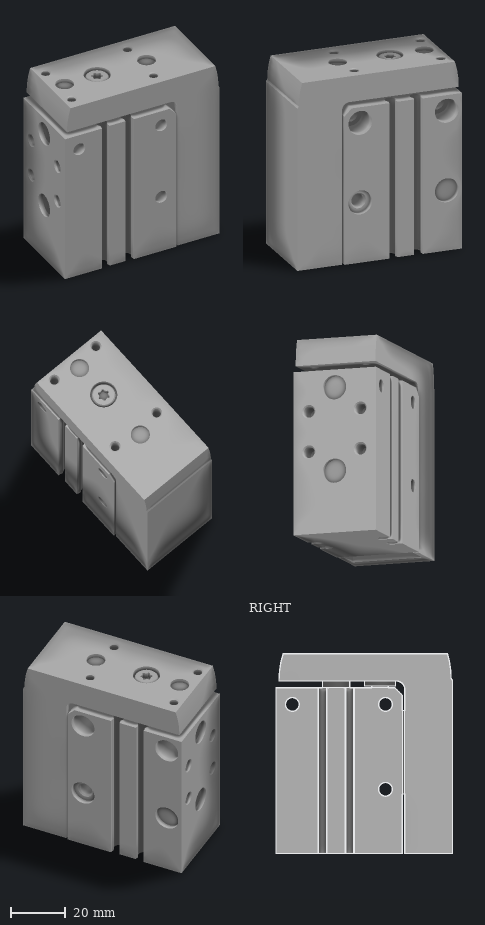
import cadquery as cq
import math


housing_width = 32.0
housing_depth = 46.2
housing_height = 60.6
rod_y = 22.0
bolt_front_y = 6.0
bolt_back_y = 40.0

back_chamfer = 2.8
side_x = -housing_width / 2

slot_mouth = 3.3
slot_mouth_depth = 1.0
slot_lip = 2.9
slot_bore_diameter = 4.13
slot_bore_depth = 3.4
slot_offset = 4.95
rib_drop = 0.3

side_bore_diameter = 9.3
side_hole_diameter = 4.92
side_countersink_diameter = 6.0
side_low_z = 23.5
side_row_spacing = 31.0
side_bore_shallow = 2.0
side_bore_deep = 10.0

front_recess_diameter = 9.0
front_recess_depth = 2.0
front_recess_low_z = 23.0
front_recess_spacing = 31.0
front_thread_diameter = 4.13
front_thread_countersink = 5.1
front_thread_depth = 8.0
front_thread_x = 10.0
front_thread_z = (30.5, 45.5)
drill_point_angle = 118.0

guide_width = 27.0
guide_back_y = 57.0
guide_low_z = 21.7
guide_high_z = 52.3

table_width = 31.0
table_height = 73.0
table_back_y = 64.5
wall_front_y = 47.0
arm_bottom_z = 63.0
arm_front_y = 1.1
end_radius = 31.0
front_round_z = 63.5
back_step = 0.5
back_step_height = 0.8
back_round_z = 64.0
inner_fillet = 3.0
channel_top_z = 62.4
channel_corner_radius = 5.0

table_thread_diameter = 3.24
table_thread_countersink = 4.1
table_thread_x = 10.0
table_recess_diameter = 7.0
table_recess_depth = 1.6
table_recess_y = (8.5, 42.5)

rod_diameter = 10.1
screw_bore_diameter = 10.0
screw_bore_depth = 3.0
screw_head_diameter = 8.5
screw_head_drop = 0.6
screw_head_chamfer = 0.4
torx_core_diameter = 3.5
torx_lobe_radius = 0.5
torx_tip_radius = 2.25
torx_depth = 2.3

stop_y = 38.0
stop_diameter = 11.5
stop_bottom_z = 61.2
stop_neck_diameter = 6.2


def box(x_range, y_range, z_range):
    """Axis-aligned box between two limits on each axis."""
    size = [high - low for low, high in (x_range, y_range, z_range)]
    corner = (x_range[0], y_range[0], z_range[0])
    return cq.Workplane(cq.Solid.makeBox(*size, cq.Vector(*corner)))


def cylinder(diameter, length, start, direction):
    """Round bar or hole cutter from a start point along a direction."""
    solid = cq.Solid.makeCylinder(diameter / 2, length, cq.Vector(*start), cq.Vector(*direction))
    return cq.Workplane(solid)


def cone(start_diameter, end_diameter, length, start, direction):
    """Tapered cutter from a start point along a direction."""
    solid = cq.Solid.makeCone(
        start_diameter / 2, end_diameter / 2, length, cq.Vector(*start), cq.Vector(*direction)
    )
    return cq.Workplane(solid)


def countersink(outer, inner, start, direction):
    """45 degree edge break at the mouth of a round hole."""
    return cone(outer, inner, (outer - inner) / 2, start, direction)


def sensor_slot(y):
    """Keyhole-shaped slot cutter in the -X face, full height."""
    full_height = (0, housing_height)
    bore_x = side_x + slot_bore_depth
    mouth = box(
        (side_x, side_x + slot_mouth_depth), (y - slot_mouth / 2, y + slot_mouth / 2), full_height
    )
    lip = box((side_x, bore_x), (y - slot_lip / 2, y + slot_lip / 2), full_height)
    bore = cylinder(slot_bore_diameter, housing_height, (bore_x, y, 0), (0, 0, 1))
    return mouth.union(lip).union(bore)


def slot_group():
    """Both sensor slots of the -X side and the lowered rib face between them."""
    rib_face = box(
        (side_x, side_x + rib_drop),
        (rod_y - slot_offset, rod_y + slot_offset),
        (0, housing_height),
    )
    return rib_face.union(sensor_slot(rod_y - slot_offset)).union(sensor_slot(rod_y + slot_offset))


def side_hole(y, z, bore_depth):
    """Counterbored hole through the housing from the -X side."""
    floor = (side_x + bore_depth, y, z)
    inward = (1, 0, 0)
    return (
        cylinder(side_bore_diameter, bore_depth, (side_x, y, z), inward)
        .union(countersink(side_countersink_diameter, side_hole_diameter, floor, inward))
        .union(cylinder(side_hole_diameter, housing_width, (side_x, y, z), inward))
    )


def front_thread(x, z):
    """Blind tapped hole with a drill point in the front face."""
    inward = (0, 1, 0)
    point_length = front_thread_diameter / 2 / math.tan(math.radians(drill_point_angle / 2))
    return (
        cylinder(front_thread_diameter, front_thread_depth, (x, 0, z), inward)
        .union(countersink(front_thread_countersink, front_thread_diameter, (x, 0, z), inward))
        .union(cone(front_thread_diameter, 0, point_length, (x, front_thread_depth, z), inward))
    )


def make_housing():
    body = box((side_x, -side_x), (0, housing_depth), (0, housing_height))
    body = body.edges(">Y and >Z").chamfer(back_chamfer)

    slots = slot_group()
    body = body.cut(slots).cut(slots.mirror("YZ"))

    side_high_z = side_low_z + side_row_spacing
    body = body.cut(side_hole(bolt_front_y, side_high_z, side_bore_deep))
    body = body.cut(side_hole(bolt_back_y, side_high_z, side_bore_deep))
    body = body.cut(side_hole(bolt_back_y, side_low_z, side_bore_shallow))
    blind_start = (side_x, bolt_front_y, side_low_z)
    body = body.cut(cylinder(side_bore_diameter, side_bore_shallow, blind_start, (1, 0, 0)))

    for z in (front_recess_low_z, front_recess_low_z + front_recess_spacing):
        body = body.cut(cylinder(front_recess_diameter, front_recess_depth, (0, 0, z), (0, 1, 0)))
    for x in (-front_thread_x, front_thread_x):
        for z in front_thread_z:
            body = body.cut(front_thread(x, z))

    guide = box(
        (-guide_width / 2, guide_width / 2),
        (housing_depth, guide_back_y),
        (guide_low_z, guide_high_z),
    )
    return body.union(guide)


def end_setback(rise):
    """How far the rounded arm end has moved inward at a height above its start."""
    return end_radius - math.sqrt(end_radius**2 - rise**2)


def table_blank():
    """L-shaped profile with rounded arm ends and a filleted inner corner."""
    front_rise = table_height - front_round_z
    back_rise = table_height - back_round_z
    back_round_y = table_back_y - back_step
    return (
        cq.Workplane("YZ", origin=(-table_width / 2, 0, 0))
        .moveTo(wall_front_y, 0)
        .lineTo(table_back_y, 0)
        .lineTo(table_back_y, back_round_z - back_step_height)
        .lineTo(back_round_y, back_round_z)
        .threePointArc(
            (back_round_y - end_setback(back_rise / 2), back_round_z + back_rise / 2),
            (back_round_y - end_setback(back_rise), table_height),
        )
        .lineTo(arm_front_y + end_setback(front_rise), table_height)
        .threePointArc(
            (arm_front_y + end_setback(front_rise / 2), front_round_z + front_rise / 2),
            (arm_front_y, front_round_z),
        )
        .lineTo(arm_front_y, arm_bottom_z)
        .lineTo(wall_front_y - inner_fillet, arm_bottom_z)
        .radiusArc((wall_front_y, arm_bottom_z - inner_fillet), inner_fillet)
        .close()
        .extrude(table_width)
    )


def guide_channel():
    """Channel cutter for the guide block, with rounded upper corners, cut through the inner fillet."""
    channel_front_y = wall_front_y - inner_fillet
    channel = box(
        (-guide_width / 2, guide_width / 2), (channel_front_y, guide_back_y), (0, channel_top_z)
    )
    return channel.edges("|Y and >Z").fillet(channel_corner_radius)


def torx_socket(top_z):
    """Six-lobed socket cutter sunk from the top of the screw head."""
    down = (0, 0, -1)
    socket = cylinder(torx_core_diameter, torx_depth, (0, rod_y, top_z), down)
    lobe_reach = torx_tip_radius - torx_lobe_radius
    for index in range(6):
        angle = math.radians(60 * index)
        centre = (lobe_reach * math.cos(angle), rod_y + lobe_reach * math.sin(angle), top_z)
        socket = socket.union(cylinder(2 * torx_lobe_radius, torx_depth, centre, down))
    return socket


def screw_head():
    """Chamfered screw head standing on the floor of its bore."""
    floor_z = table_height - screw_bore_depth
    head_top_z = table_height - screw_head_drop
    head = cylinder(screw_head_diameter, head_top_z - floor_z, (0, rod_y, floor_z), (0, 0, 1))
    head = head.faces(">Z").chamfer(screw_head_chamfer)
    return head.cut(torx_socket(head_top_z))


def make_table():
    down = (0, 0, -1)
    body = table_blank().cut(guide_channel())

    arm_thickness = table_height - arm_bottom_z
    for x in (-table_thread_x, table_thread_x):
        for y in (bolt_front_y, bolt_back_y):
            start = (x, y, table_height)
            body = body.cut(cylinder(table_thread_diameter, arm_thickness, start, down))
            body = body.cut(countersink(table_thread_countersink, table_thread_diameter, start, down))
    for y in table_recess_y:
        start = (0, y, table_height)
        body = body.cut(cylinder(table_recess_diameter, table_recess_depth, start, down))

    body = body.cut(cylinder(screw_bore_diameter, screw_bore_depth, (0, rod_y, table_height), down))
    body = body.union(screw_head())
    rod_length = arm_bottom_z - housing_height
    body = body.union(cylinder(rod_diameter, rod_length, (0, rod_y, arm_bottom_z), down))

    stop_height = arm_bottom_z - stop_bottom_z
    neck_height = stop_bottom_z - housing_height
    body = body.union(cylinder(stop_diameter, stop_height, (0, stop_y, arm_bottom_z), down))
    return body.union(cylinder(stop_neck_diameter, neck_height, (0, stop_y, stop_bottom_z), down))


housing = make_housing()
table = make_table()

result = cq.Compound.makeCompound([housing.val(), table.val()])